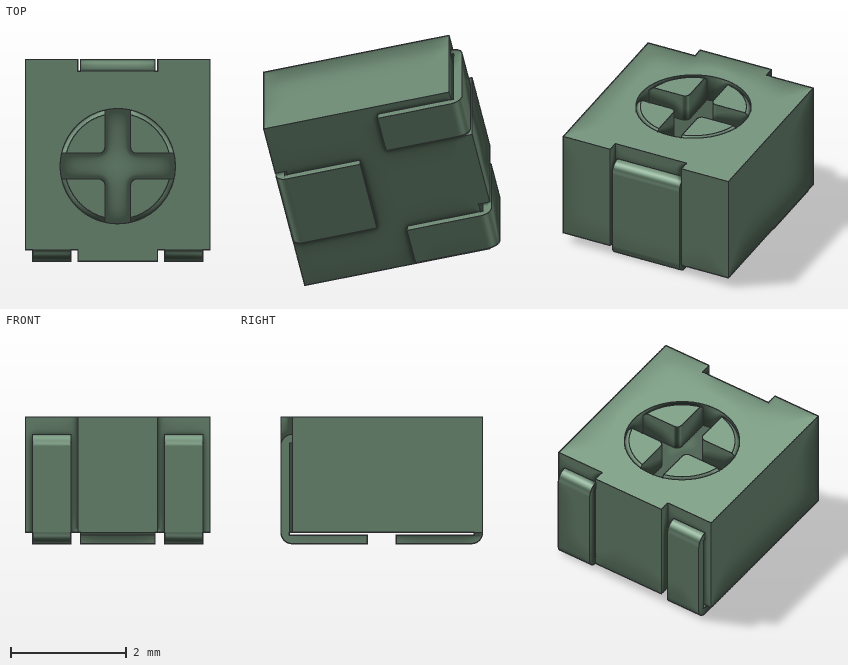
import cadquery as cq


housing_width = 3.2
overall_length = 3.5
overall_height = 2.2
standoff = 0.2
step_depth = 0.2
key_width = 1.38
rotor_offset = 0.1
front_y = rotor_offset - overall_length / 2
rear_y = rotor_offset + overall_length / 2
step_width = (housing_width - key_width) / 2

rotor_diameter = 2.0
rotor_height = 1.0
rotor_chamfer = 0.08
slot_width = 0.45
slot_depth = 0.5
slot_corner_radius = 0.1

strip_thickness = 0.15
bend_radius = 0.2
foot_length = 1.5
terminal_top = 1.9
front_terminal_margin = 0.125
front_terminal_width = step_width - 2 * front_terminal_margin
front_terminal_x = (key_width + step_width) / 2
rear_terminal_width = 1.3


def block(width, y_start, y_end, z_start, z_end):
    """Box centred on X = 0 between the given Y and Z limits."""
    return cq.Workplane("XY").box(
        width, y_end - y_start, z_end - z_start, centered=(True, False, False)
    ).translate((0, y_start, z_start))


def make_housing():
    """Block with a front tab, a rear notch and a blind bore for the rotor."""
    body = block(housing_width, front_y + step_depth, rear_y, standoff, overall_height)
    tab = block(key_width, front_y, front_y + step_depth, standoff, overall_height)
    notch = block(key_width, rear_y - step_depth, rear_y, standoff, overall_height)
    bore = (
        cq.Workplane("XY", origin=(0, 0, overall_height))
        .circle(rotor_diameter / 2)
        .extrude(-rotor_height)
    )
    return body.union(tab).cut(notch).cut(bore)


def make_rotor():
    """Chamfered disc, flush with the housing top, with a cross-shaped driver slot."""
    disc = (
        cq.Workplane("XY", origin=(0, 0, overall_height - rotor_height))
        .circle(rotor_diameter / 2)
        .extrude(rotor_height)
        .faces(">Z")
        .chamfer(rotor_chamfer)
    )
    slot_length = 2 * rotor_diameter
    floor = cq.Workplane("XY", origin=(0, 0, overall_height - slot_depth))
    slot_x = floor.rect(slot_length, slot_width).extrude(slot_depth)
    slot_y = floor.rect(slot_width, slot_length).extrude(slot_depth)
    inner_corners = cq.selectors.BoxSelector(
        (-slot_width, -slot_width, 0), (slot_width, slot_width, overall_height)
    )
    cross = slot_x.union(slot_y).edges("|Z").edges(inner_corners).fillet(slot_corner_radius)
    return disc.cut(cross)


def make_terminal(width):
    """Bent C-shaped strip centred on X = 0, standing at the front of the housing."""
    wall_y = front_y + step_depth
    inner_y = front_y + strip_thickness
    foot_end_y = front_y + foot_length
    diagonal = bend_radius * (1 - 0.5 ** 0.5)
    return (
        cq.Workplane("YZ", origin=(-width / 2, 0, 0))
        .moveTo(foot_end_y, 0)
        .lineTo(front_y + bend_radius, 0)
        .threePointArc((front_y + diagonal, diagonal), (front_y, bend_radius))
        .lineTo(front_y, terminal_top - bend_radius)
        .threePointArc(
            (front_y + diagonal, terminal_top - diagonal),
            (front_y + bend_radius, terminal_top),
        )
        .lineTo(wall_y, terminal_top - strip_thickness)
        .lineTo(inner_y, terminal_top - strip_thickness)
        .lineTo(inner_y, strip_thickness)
        .lineTo(foot_end_y, strip_thickness)
        .close()
        .extrude(width)
    )


housing = make_housing()
rotor = make_rotor()

front_terminals = [
    make_terminal(front_terminal_width).translate((side * front_terminal_x, 0, 0))
    for side in (-1, 1)
]

rear_terminal = (
    make_terminal(rear_terminal_width)
    .mirror("XZ")
    .translate((0, front_y + rear_y, 0))
)

result = cq.Compound.makeCompound([
    housing.val(),
    rotor.val(),
    *[terminal.val() for terminal in front_terminals],
    rear_terminal.val(),
])